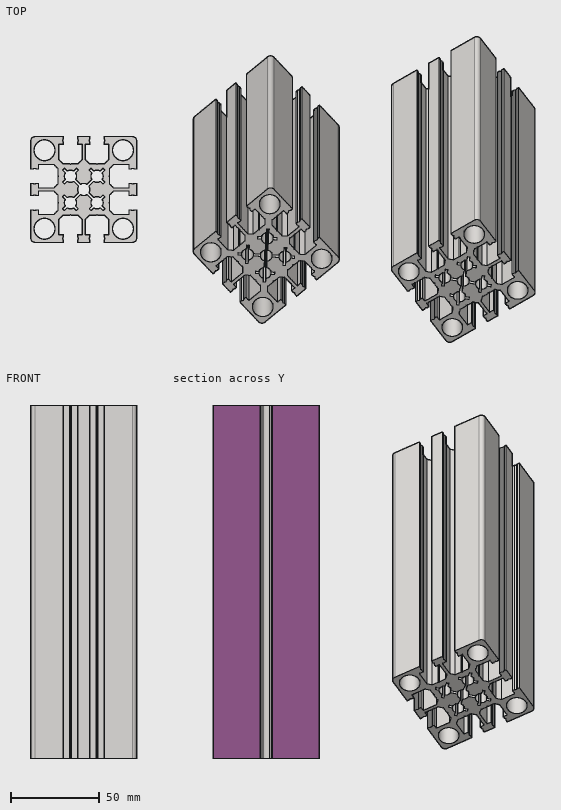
import cadquery as cq
import math

side = 60.0
length = 200.0
edge_radius = 2.5

slot_offset = 7.5
slot_opening = 8.0
lip_thickness = 4.5
cavity_width = 13.1
cavity_depth = 15.3
cavity_corner_chamfer = 2.2

floor_groove_width = 1.0
floor_groove_depth = 0.4
lip_groove_width = 2.0
lip_groove_depth = 0.4

corner_bore_diameter = 11.7
corner_bore_offset = 22.2

core_bore_diameter = 6.8
slit_width = 1.4
slit_reach = 5.5

half_side = side / 2
half_opening = slot_opening / 2
half_cavity = cavity_width / 2
slot_offsets = (-slot_offset, slot_offset)
slot_crossings = [(x, y) for x in slot_offsets for y in slot_offsets]


def t_slot(centre_x):
    """Full-length T-slot cutter, open towards +Y."""
    lip_inner_y = half_side - lip_thickness
    lip_middle_y = half_side - lip_thickness / 2
    lip_groove_half = lip_groove_width / 2
    floor_y = half_side - cavity_depth
    right_half = [
        (0, floor_y - floor_groove_depth),
        (floor_groove_width / 2, floor_y),
        (half_cavity - cavity_corner_chamfer, floor_y),
        (half_cavity, floor_y + cavity_corner_chamfer),
        (half_cavity, lip_inner_y),
        (half_opening, lip_inner_y),
        (half_opening, lip_middle_y - lip_groove_half),
        (half_opening + lip_groove_depth, lip_middle_y),
        (half_opening, lip_middle_y + lip_groove_half),
        (half_opening, half_side),
    ]
    left_half = [(-x, y) for x, y in reversed(right_half[1:])]
    return (
        cq.Workplane("XY")
        .center(centre_x, 0)
        .polyline(right_half + left_half)
        .close()
        .extrude(length)
    )


def bores(centres, diameter):
    """Full-length round cutters at the given centres."""
    return cq.Workplane("XY").pushPoints(centres).circle(diameter / 2).extrude(length)


def slit(centre, angle, slit_length):
    """Full-length straight slit cutter, centred on a point."""
    return (
        cq.Workplane("XY")
        .center(*centre)
        .transformed(rotate=(0, 0, angle))
        .rect(slit_length, slit_width)
        .extrude(length)
    )


result = cq.Workplane("XY").rect(side, side).extrude(length).edges("|Z").fillet(edge_radius)

for face_angle in (0, 90, 180, 270):
    for offset in slot_offsets:
        result = result.cut(t_slot(offset).rotate((0, 0, 0), (0, 0, 1), face_angle))

corner_offsets = (-corner_bore_offset, corner_bore_offset)
corner_centres = [(x, y) for x in corner_offsets for y in corner_offsets]
result = result.cut(bores(corner_centres, corner_bore_diameter))
result = result.cut(bores([(0, 0)] + slot_crossings, core_bore_diameter))

long_slit_length = 2 * (slot_offset * math.sqrt(2) + slit_reach)
for angle in (45, -45):
    result = result.cut(slit((0, 0), angle, long_slit_length))
for x, y in slot_crossings:
    crossing_angle = -45 if x * y > 0 else 45
    result = result.cut(slit((x, y), crossing_angle, 2 * slit_reach))